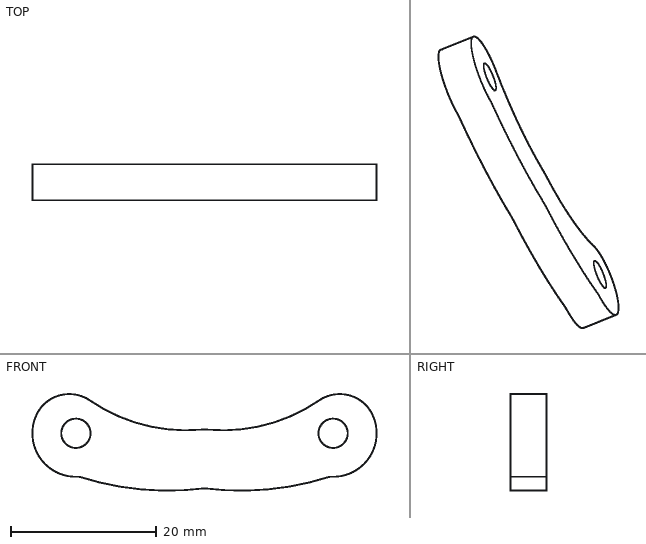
import cadquery as cq
import math

THICKNESS = 5.0
HOLE_SPACING = 25.0 * math.sqrt(2.0)
HOLE_DIAMETER = 4.0
EYE_RADIUS = 6.0
CAP_RADIUS = 5.0
CAP_TANGENT_ANGLE = 24.5
SADDLE_RADIUS = 23.3
SADDLE_CENTER_X = 2.54
CREST_RADIUS = 5.0
BELLY_RADIUS = 40.0
BELLY_CENTER_X = 5.0
BELLY_DEPTH = 7.9


def point_on_arc(center, radius, toward):
    """Point of a circle in the direction of another point."""
    span = math.dist(center, toward)
    return tuple(c + (t - c) * radius / span for c, t in zip(center, toward))


def arc_middle(center, radius, start, end):
    """Middle of the shorter arc between two points of a circle."""
    chord_middle = tuple((s + e) / 2.0 for s, e in zip(start, end))
    return point_on_arc(center, radius, chord_middle)


def circle_crossing(center_a, radius_a, center_b, radius_b):
    """Crossing point of two circles lying to the right of the direction from A to B."""
    span = math.dist(center_a, center_b)
    along = (span**2 + radius_a**2 - radius_b**2) / (2.0 * span)
    aside = math.sqrt(radius_a**2 - along**2)
    unit_x = (center_b[0] - center_a[0]) / span
    unit_z = (center_b[1] - center_a[1]) / span
    return (
        center_a[0] + along * unit_x + aside * unit_z,
        center_a[1] + along * unit_z - aside * unit_x,
    )


def half_body():
    """The +X half of the link, extruded symmetrically about the XZ plane."""
    eye_center = (HOLE_SPACING / 2.0, 0.0)

    cap_angle = math.radians(CAP_TANGENT_ANGLE)
    cap_shift = EYE_RADIUS - CAP_RADIUS
    cap_center = (
        eye_center[0] + cap_shift * math.cos(cap_angle),
        eye_center[1] + cap_shift * math.sin(cap_angle),
    )
    cap_end = point_on_arc(eye_center, EYE_RADIUS, cap_center)
    saddle_run = cap_center[0] - SADDLE_CENTER_X
    saddle_rise = math.sqrt((SADDLE_RADIUS + CAP_RADIUS) ** 2 - saddle_run**2)
    saddle_center = (SADDLE_CENTER_X, cap_center[1] + saddle_rise)
    saddle_end = point_on_arc(saddle_center, SADDLE_RADIUS, cap_center)

    crest_drop = math.sqrt((SADDLE_RADIUS + CREST_RADIUS) ** 2 - SADDLE_CENTER_X**2)
    crest_center = (0.0, saddle_center[1] - crest_drop)
    crest_top = (0.0, crest_center[1] + CREST_RADIUS)
    saddle_start = point_on_arc(saddle_center, SADDLE_RADIUS, crest_center)

    belly_center = (BELLY_CENTER_X, BELLY_RADIUS - BELLY_DEPTH)
    belly_start = (0.0, belly_center[1] - math.sqrt(BELLY_RADIUS**2 - BELLY_CENTER_X**2))
    belly_end = circle_crossing(belly_center, BELLY_RADIUS, eye_center, EYE_RADIUS)

    cap_top = (cap_center[0], cap_center[1] + CAP_RADIUS)
    eye_middle = arc_middle(eye_center, EYE_RADIUS, cap_end, belly_end)
    return (
        cq.Workplane("XZ")
        .moveTo(*crest_top)
        .threePointArc(arc_middle(crest_center, CREST_RADIUS, crest_top, saddle_start), saddle_start)
        .threePointArc(arc_middle(saddle_center, SADDLE_RADIUS, saddle_start, saddle_end), saddle_end)
        .threePointArc(cap_top, cap_end)
        .threePointArc(eye_middle, belly_end)
        .threePointArc(arc_middle(belly_center, BELLY_RADIUS, belly_end, belly_start), belly_start)
        .close()
        .extrude(THICKNESS / 2.0, both=True)
    )


def half_link():
    """The +X half of the link with its hole."""
    hole = (
        cq.Workplane("XZ")
        .center(HOLE_SPACING / 2.0, 0.0)
        .circle(HOLE_DIAMETER / 2.0)
        .extrude(THICKNESS, both=True)
    )
    return half_body().cut(hole)


right_half = half_link()
result = right_half.union(right_half.mirror("YZ")).clean()